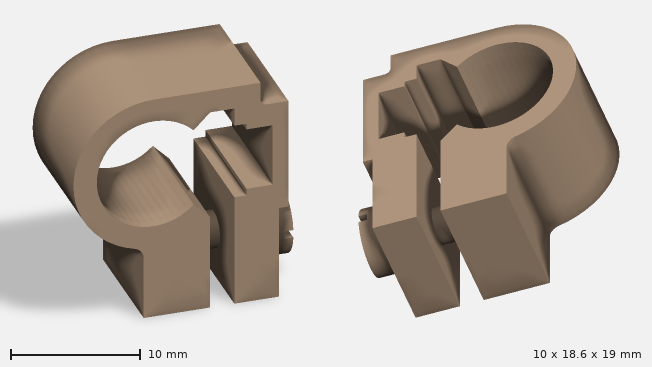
import cadquery as cq
import math

width = 10.0
height = 19.0

outer_radius = 6.5
bore_radius = 4.6
bore_z = height - outer_radius
bore_top = bore_z + bore_radius
bore_bottom = bore_z - bore_radius
throat_offset = bore_radius * math.sin(math.radians(45))

ring_leg_face_y = -0.8
gap_ring_side_y = bore_radius
gap_screw_side_y = 6.55
screw_leg_face_y = 10.16
leg_fillet = 1.0

wall_y = 10.95
wall_bottom = 7.77
wall_top = 17.02
roof_edge_y = 8.68
roof_fillet = 0.5
pocket_y = 9.67
pocket_bottom = 9.9
pocket_top = 15.1
ledge_y = 7.55
ledge_bottom = 9.33
ledge_top = 15.6

screw_z = 4.0
head_diameter = 5.5
shank_diameter = 3.0
head_end_y = 12.1
head_slot_width = 0.65
head_slot_depth = 0.72


def leg_blend_points():
    """Return start, middle and end of the arc blending the ring leg into the ring."""
    centre_y = ring_leg_face_y - leg_fillet
    centre_drop = math.sqrt((outer_radius + leg_fillet) ** 2 - centre_y**2)
    centre_z = bore_z - centre_drop
    ring_angle = math.atan2(centre_drop, -centre_y)

    def on_fillet(angle):
        return (centre_y + leg_fillet * math.cos(angle), centre_z + leg_fillet * math.sin(angle))

    return on_fillet(0), on_fillet(ring_angle / 2), on_fillet(ring_angle)


def extrude_centred(profile):
    return profile.extrude(width / 2, both=True)


def clamp_body():
    """Extrude the one-piece clamp profile along X."""
    leg_tangent, blend_middle, ring_tangent = leg_blend_points()
    profile = (
        cq.Workplane("YZ")
        .moveTo(ring_leg_face_y, 0)
        .lineTo(*leg_tangent)
        .threePointArc(blend_middle, ring_tangent)
        .threePointArc((-outer_radius, bore_z), (0, height))
        .lineTo(roof_edge_y, height)
        .lineTo(roof_edge_y, wall_top + roof_fillet)
        .radiusArc((roof_edge_y + roof_fillet, wall_top), -roof_fillet)
        .lineTo(wall_y, wall_top)
        .lineTo(wall_y, wall_bottom)
        .lineTo(screw_leg_face_y, wall_bottom)
        .lineTo(screw_leg_face_y, 0)
        .lineTo(gap_screw_side_y, 0)
        .lineTo(gap_screw_side_y, ledge_bottom)
        .lineTo(ledge_y, ledge_bottom)
        .lineTo(ledge_y, pocket_bottom)
        .lineTo(pocket_y, pocket_bottom)
        .lineTo(pocket_y, pocket_top)
        .lineTo(ledge_y, pocket_top)
        .lineTo(ledge_y, ledge_top)
        .lineTo(gap_screw_side_y, ledge_top)
        .lineTo(gap_screw_side_y, bore_top)
        .lineTo(gap_ring_side_y, bore_top)
        .lineTo(throat_offset, bore_z + throat_offset)
        .threePointArc((-bore_radius, bore_z), (throat_offset, bore_z - throat_offset))
        .lineTo(gap_ring_side_y, bore_bottom)
        .lineTo(gap_ring_side_y, 0)
        .close()
    )
    return extrude_centred(profile)


def screw_cylinder(diameter, start_y, end_y):
    """Make a cylinder on the screw axis between two Y positions."""
    base = cq.Workplane("XZ", origin=(0, end_y, screw_z))
    return base.circle(diameter / 2).extrude(end_y - start_y)


def clamping_screw():
    """Join the slotted head and the shank, which spans from the ring leg to the head."""
    head = screw_cylinder(head_diameter, screw_leg_face_y, head_end_y)
    shank = screw_cylinder(shank_diameter, ring_leg_face_y, screw_leg_face_y)
    slot_profile = (
        cq.Workplane("YZ")
        .center(head_end_y, screw_z)
        .rect(2 * head_slot_depth, head_slot_width)
    )
    return head.cut(extrude_centred(slot_profile)).union(shank)


result = clamp_body().union(clamping_screw())